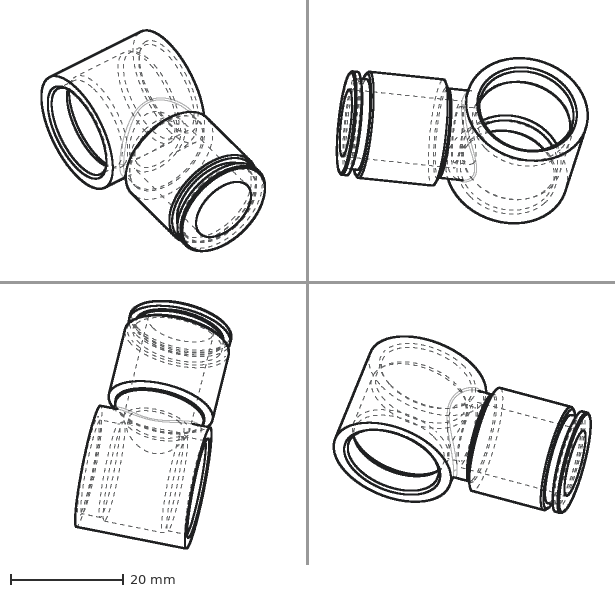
import cadquery as cq

total_length = 41.9

ring_radius = 11.0
ring_width = 20.0
land_radius = 8.5
mouth_radius = 9.0
mouth_depth = 0.5
relief_radius = 9.0
relief_half_width = 6.15
relief_slope_length = 0.85

neck_radius = 8.0
body_radius = 9.5
neck_end = 13.3
shoulder_place = 13.58
shoulder_radius = 8.13
body_start = 14.25
body_end = 28.0
body_chamfer = 0.38
collar_radius = 8.13
collar_end = 29.4
groove_radius = 8.0
flange_start = 29.75
flange_radius = 9.25
branch_end = total_length - ring_radius
flange_chamfer = 0.25
root_fillet = 0.5

port_radius = 5.03
socket_start = 10.73
socket_radius = 6.0


def make_ring():
    return cq.Workplane("XZ").circle(ring_radius).extrude(ring_width / 2, both=True)


def make_branch():
    profile = [
        (0, 0),
        (0, neck_radius),
        (neck_end, neck_radius),
        (shoulder_place, shoulder_radius),
        (body_start, body_radius),
        (body_end - body_chamfer, body_radius),
        (body_end, body_radius - body_chamfer),
        (body_end, collar_radius),
        (collar_end, collar_radius),
        (collar_end, groove_radius),
        (flange_start, groove_radius),
        (flange_start, flange_radius),
        (branch_end - flange_chamfer, flange_radius),
        (branch_end, flange_radius - flange_chamfer),
        (branch_end, 0),
    ]
    return cq.Workplane("XY").polyline(profile).close().revolve(360, (0, 0, 0), (1, 0, 0))


def make_ring_bore():
    """Chamfered mouths, a land at each end and a shallow relief between the lands."""
    half_width = ring_width / 2
    profile = [
        (0, -half_width),
        (mouth_radius, -half_width),
        (land_radius, -half_width + mouth_depth),
        (land_radius, -relief_half_width),
        (relief_radius, -relief_half_width + relief_slope_length),
        (relief_radius, relief_half_width - relief_slope_length),
        (land_radius, relief_half_width),
        (land_radius, half_width - mouth_depth),
        (mouth_radius, half_width),
        (0, half_width),
    ]
    return cq.Workplane("XY").polyline(profile).close().revolve(360, (0, 0, 0), (0, 1, 0))


def make_passage():
    """Port from the ring bore, opening into a wider tube socket through the branch end."""
    port = cq.Workplane("YZ").circle(port_radius).extrude(socket_start)
    socket = (
        cq.Workplane("YZ")
        .workplane(offset=socket_start)
        .circle(socket_radius)
        .extrude(branch_end - socket_start)
    )
    return port.union(socket)


def make_outside():
    """Ring and branch, with the curved seam where the neck meets the ring rounded."""
    solid = make_ring().union(make_branch())
    seam = solid.faces("<X").edges("%BSPLINE")
    return seam.fillet(root_fillet)


result = make_outside().cut(make_ring_bore()).cut(make_passage())